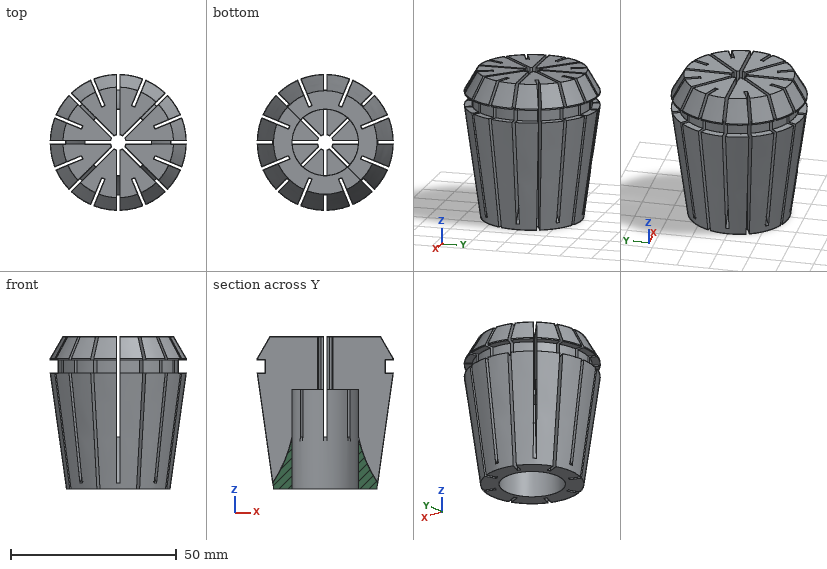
import cadquery as cq
import math


total_length = 46.0
rim_radius = 20.5
body_length = 34.95
body_taper = 8.0
groove_radius = 18.1
groove_width = 4.0
rim_width = 0.4
nose_taper = 30.0

rim_bottom = body_length + groove_width
rim_top = rim_bottom + rim_width
body_bottom_radius = rim_radius - body_length * math.tan(math.radians(body_taper))
nose_face_radius = rim_radius - (total_length - rim_top) * math.tan(math.radians(nose_taper))

clamping_bore_radius = 2.35
clamping_length = 16.0
relief_bore_radius = 10.0
relief_depth = total_length - clamping_length

slot_count = 8
slot_pitch = 360.0 / slot_count
slot_width = 1.0
slot_floor_inner_height = 15.8
slot_floor_outer_height = 1.9
saw_radius = 40.0
short_slot_inner_radius = 11.8
overcut = 1.0
slot_outer_radius = rim_radius + overcut
slot_floor_outer_radius = body_bottom_radius + slot_floor_outer_height * math.tan(math.radians(body_taper))


def make_body():
    """Revolve the half section: body taper, extractor groove, rim and nose taper."""
    return (
        cq.Workplane("XZ")
        .moveTo(0, 0)
        .lineTo(body_bottom_radius, 0)
        .lineTo(rim_radius, body_length)
        .lineTo(groove_radius, body_length)
        .lineTo(groove_radius, rim_bottom)
        .lineTo(rim_radius, rim_bottom)
        .lineTo(rim_radius, rim_top)
        .lineTo(nose_face_radius, total_length)
        .lineTo(0, total_length)
        .close()
        .revolve(360, (0, 0, 0), (0, 1, 0))
    )


def make_bore():
    """Clamping bore through the nose, opening into a wide relief bore from below."""
    clamping_bore = cq.Workplane("XY").circle(clamping_bore_radius).extrude(total_length)
    relief_bore = cq.Workplane("XY").circle(relief_bore_radius).extrude(relief_depth)
    return clamping_bore.union(relief_bore)


def make_nose_slot():
    """Slot open at the nose, reaching the axis, with a floor curved by the saw."""
    return (
        cq.Workplane("XZ")
        .moveTo(0, total_length + overcut)
        .lineTo(0, slot_floor_inner_height)
        .lineTo(relief_bore_radius, slot_floor_inner_height)
        .radiusArc((slot_floor_outer_radius, slot_floor_outer_height), -saw_radius)
        .lineTo(slot_outer_radius, slot_floor_outer_height)
        .lineTo(slot_outer_radius, total_length + overcut)
        .close()
        .extrude(slot_width / 2, both=True)
    )


def make_short_slot():
    """Full-length slot that stops short of the relief bore."""
    slot_depth = slot_outer_radius - short_slot_inner_radius
    return (
        cq.Workplane("XY")
        .center(short_slot_inner_radius + slot_depth / 2, 0)
        .rect(slot_depth, slot_width)
        .extrude(total_length)
    )


result = make_body().cut(make_bore())
nose_slot = make_nose_slot()
short_slot = make_short_slot()
for index in range(slot_count):
    angle = index * slot_pitch
    result = result.cut(nose_slot.rotate((0, 0, 0), (0, 0, 1), angle))
    result = result.cut(short_slot.rotate((0, 0, 0), (0, 0, 1), angle + slot_pitch / 2))